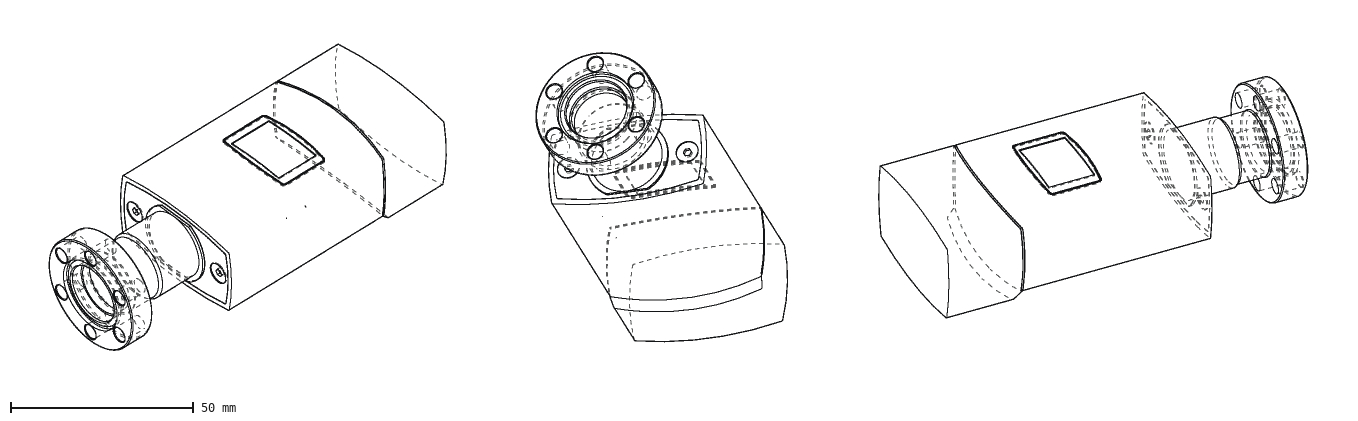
import cadquery as cq
import math

total_length = 111.2

flange_diameter = 34.0
flange_thickness = 7.6
flange_chamfer = 0.3
bolt_count = 6
bolt_circle_diameter = 27.0
bolt_hole_diameter = 4.3
bolt_hole_chamfer = 0.2
seal_recess_diameter = 21.8
knife_base_diameter = 20.5
seal_recess_depth = 1.2
knife_edge_diameter = 17.8
knife_edge_depth = 0.7
bore_mouth_diameter = 17.2
bore_diameter = 16.0
bore_step_depth = 4.5
bore_depth = 7.0

neck_diameter = 18.8
neck_root_length = 0.6
neck_root_step = 0.2
sleeve_diameter = 20.1
sleeve_start = 16.7
sleeve_chamfer_length = 0.9
collar_diameter = 23.2
collar_thickness = 0.7

housing_start = 31.7
housing_width = 45.0
half_width = housing_width / 2
corner_half_width = 21.6
half_height = 12.9
corner_half_height = 10.6
corner_radius = 0.7
side_bow = half_width - corner_half_width
side_radius = (corner_half_height**2 + side_bow**2) / (2 * side_bow)

cap_drop = 2.5
cap_corner_depth = corner_half_height + cap_drop
cap_corner_half_width = half_width - side_radius + math.sqrt(side_radius**2 - cap_corner_depth**2)
slope_start = 88.7
seam_start = 88.2
seam_bulge = 2.7
seam_width = 0.6
seam_depth = 0.1

window_centre = 67.9
window_half_width = 12.6
window_half_length = 8.7
window_side_half_length = 7.8
window_corner_radius = 1.1
window_groove_width = 0.3
window_groove_depth = 0.5
label_width = 19.1
label_length = 13.8
label_depth = 0.3

back_margin = 1.5
back_recess_depth = 0.1
screw_offset = 16.9
screw_head_diameter = 6.2
screw_head_recess = 0.3
socket_across_corners = 2.3
socket_depth = 0.9


def disc(diameter, start, length, x=0.0, z=0.0):
    """Cylinder along +Y that starts at Y = start."""
    centre = cq.Vector(x, start, z)
    return cq.Workplane(cq.Solid.makeCylinder(diameter / 2, length, centre, cq.Vector(0, 1, 0)))


def collar_disc(start, length):
    """Round disc trimmed above and below to the height of the sleeve."""
    trim = cq.Workplane("XY").box(collar_diameter, 2 * total_length, sleeve_diameter)
    return disc(collar_diameter, start, length).intersect(trim)


def prism(inset, start, end, drop, bottom_corner_half_width):
    """Housing section shrunk by inset, lowered at the bottom by the drop, from Y = start to end."""
    top_x = corner_half_width - inset
    bottom_x = bottom_corner_half_width - inset
    top_z = corner_half_height - inset
    bottom_z = -corner_half_height - drop + inset
    crown_z = half_height - inset
    side_x = half_width - inset
    return (
        cq.Workplane("XZ", origin=(0, start, 0))
        .moveTo(-top_x, top_z)
        .threePointArc((0, crown_z), (top_x, top_z))
        .threePointArc((side_x, 0), (bottom_x, bottom_z))
        .threePointArc((0, -crown_z - drop), (-bottom_x, bottom_z))
        .threePointArc((-side_x, 0), (-top_x, top_z))
        .close()
        .extrude(start - end)
        .edges("|Y")
        .fillet(corner_radius)
    )


def core(inset=0.0, start=housing_start, end=total_length):
    """Housing section with the same depth above and below the axis."""
    return prism(inset, start, end, 0.0, corner_half_width)


def end_cap():
    """Deeper end of the housing, cut off underneath by a 45 degree slope."""
    cap = prism(0.0, housing_start, total_length, cap_drop, cap_corner_half_width)
    reach = total_length - slope_start
    slope = (
        cq.Workplane("YZ", origin=(-half_width, 0, 0))
        .moveTo(slope_start, -corner_half_height)
        .lineTo(slope_start + reach, -corner_half_height - reach)
        .lineTo(total_length, 0)
        .lineTo(slope_start, 0)
        .close()
        .extrude(2 * half_width)
    )
    return cap.intersect(slope)


def seam_groove():
    """Narrow groove along the bowed seam between housing and cap, on the top and the sides."""
    front = seam_start
    back = seam_start + seam_width
    band = (
        cq.Workplane("XY", origin=(0, 0, -corner_half_height + corner_radius))
        .moveTo(-half_width, front)
        .threePointArc((0, front + seam_bulge), (half_width, front))
        .lineTo(half_width, back)
        .threePointArc((0, back + seam_bulge), (-half_width, back))
        .close()
        .extrude(corner_half_height + half_height)
    )
    return band.cut(core(seam_depth))


def window_block(inset):
    """Upright block with the rounded, bowed outline of the window, shrunk by inset."""
    half_span = window_half_width - inset
    side = window_side_half_length - inset
    crown = window_half_length - inset
    return (
        cq.Workplane("XY", origin=(0, window_centre, 0))
        .moveTo(-half_span, -side)
        .threePointArc((0, -crown), (half_span, -side))
        .lineTo(half_span, side)
        .threePointArc((0, crown), (-half_span, side))
        .close()
        .extrude(half_height)
        .edges("|Z")
        .fillet(window_corner_radius - inset)
    )


def window_groove():
    """Narrow groove around the window, of even depth below the top face."""
    return window_block(0.0).cut(window_block(window_groove_width)).cut(core(window_groove_depth))


def label_recess():
    """Shallow rectangular recess inside the window, with a floor that follows the top face."""
    block = (
        cq.Workplane("XY", origin=(0, window_centre, 0))
        .rect(label_width, label_length)
        .extrude(half_height)
    )
    return block.cut(core(label_depth))


def back_plate_recess():
    """Shallow recess in the back face, leaving a land at full height behind the collar."""
    recess = core(back_margin, housing_start, housing_start + back_recess_depth)
    return recess.cut(collar_disc(housing_start, back_recess_depth))


def screw_recess(x):
    """Sunk screw head with a hexagonal socket."""
    floor = housing_start + back_recess_depth
    head = disc(screw_head_diameter, floor, screw_head_recess, x)
    socket = (
        cq.Workplane("XZ", origin=(x, floor, 0))
        .polygon(6, socket_across_corners)
        .extrude(-screw_head_recess - socket_depth)
    )
    return head.union(socket)


def housing_body():
    """Core and deeper end cap as one solid, with the grooves and recesses cut in."""
    body = core().union(end_cap())
    body = body.cut(seam_groove()).cut(window_groove()).cut(label_recess())
    body = body.cut(back_plate_recess())
    for x in (-screw_offset, screw_offset):
        body = body.cut(screw_recess(x))
    return body


def bolt_hole(x, z):
    """Through hole with a chamfered mouth in the flange face."""
    hole = disc(bolt_hole_diameter, 0, flange_thickness, x, z)
    mouth = cq.Solid.makeCone(
        bolt_hole_diameter / 2 + bolt_hole_chamfer,
        bolt_hole_diameter / 2,
        bolt_hole_chamfer,
        cq.Vector(x, 0, z),
        cq.Vector(0, 1, 0),
    )
    return hole.union(cq.Workplane(mouth))


def gauge_body():
    """Flange, neck and sleeve turned as one bored shape, with the collar and the bolt holes added."""
    flange_r = flange_diameter / 2
    neck_r = neck_diameter / 2
    sleeve_r = sleeve_diameter / 2
    bore_r = bore_diameter / 2
    mouth_r = bore_mouth_diameter / 2
    recess_r = seal_recess_diameter / 2
    profile = [
        (recess_r, 0),
        (flange_r - flange_chamfer, 0),
        (flange_r, flange_chamfer),
        (flange_r, flange_thickness - flange_chamfer),
        (flange_r - flange_chamfer, flange_thickness),
        (neck_r + neck_root_step, flange_thickness),
        (neck_r, flange_thickness + neck_root_length),
        (neck_r, sleeve_start),
        (sleeve_r, sleeve_start + sleeve_chamfer_length),
        (sleeve_r, housing_start),
        (0, housing_start),
        (0, bore_depth),
        (bore_r, bore_depth),
        (bore_r, bore_step_depth),
        (mouth_r, bore_step_depth),
        (mouth_r, seal_recess_depth),
        (knife_edge_diameter / 2, knife_edge_depth),
        (knife_base_diameter / 2, seal_recess_depth),
        (recess_r, seal_recess_depth),
    ]
    body = cq.Workplane("XY").polyline(profile).close().revolve(360, (0, 0, 0), (0, 1, 0))
    body = body.union(collar_disc(housing_start - collar_thickness, collar_thickness))
    for index in range(bolt_count):
        angle = math.radians(90 + index * 360 / bolt_count)
        x = bolt_circle_diameter / 2 * math.cos(angle)
        z = bolt_circle_diameter / 2 * math.sin(angle)
        body = body.cut(bolt_hole(x, z))
    return body


housing = housing_body()
gauge = gauge_body()
result = cq.Compound.makeCompound([housing.val(), gauge.val()])